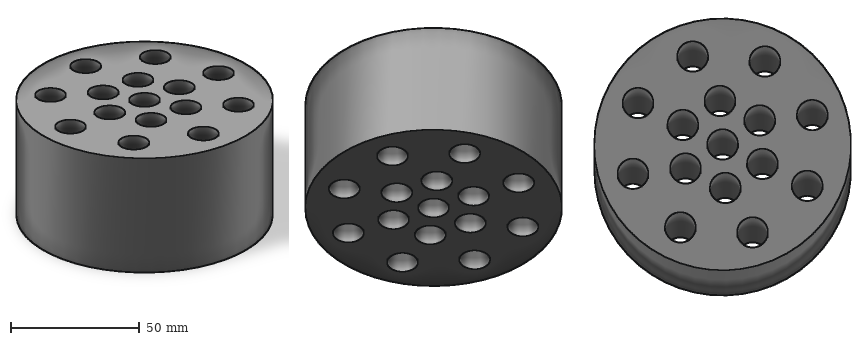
import cadquery as cq

body_diameter = 100.0
body_height = 50.0

hole_diameter = 12.0
inner_ring_radius = 17.3
inner_ring_count = 6
inner_ring_start_angle = 90.0
outer_ring_radius = 36.8
outer_ring_count = 8
outer_ring_start_angle = 0.0


def drill_ring(body, radius, start_angle, count):
    """Drill evenly spaced through holes on a circle about the Z axis."""
    return (
        body.faces(">Z")
        .workplane(origin=(0, 0, 0))
        .polarArray(radius, start_angle, 360, count)
        .hole(hole_diameter)
    )


block = cq.Workplane("XY").circle(body_diameter / 2).extrude(body_height)
block = block.faces(">Z").workplane(origin=(0, 0, 0)).hole(hole_diameter)
block = drill_ring(block, inner_ring_radius, inner_ring_start_angle, inner_ring_count)
block = drill_ring(block, outer_ring_radius, outer_ring_start_angle, outer_ring_count)

result = block